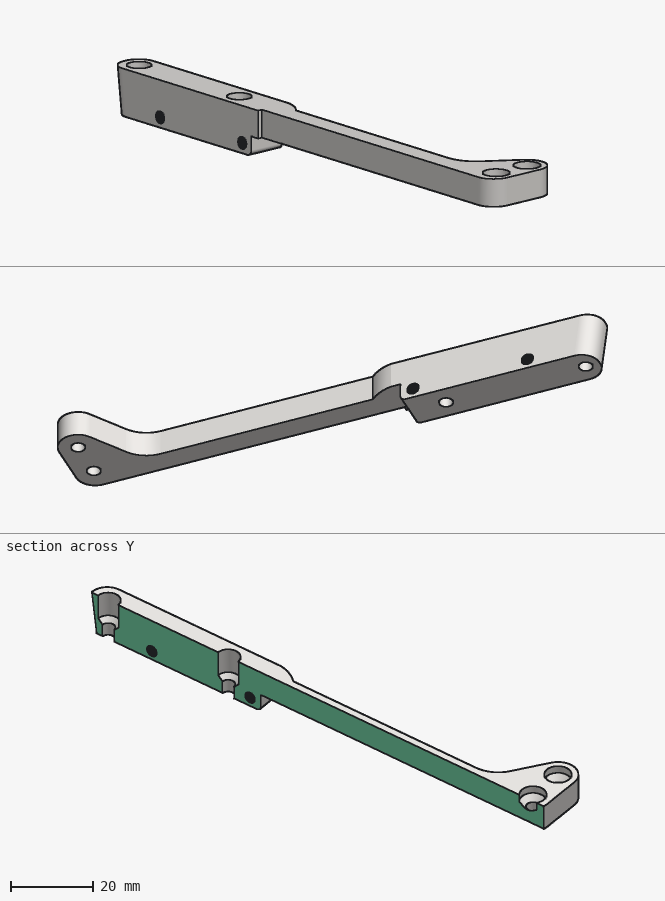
import cadquery as cq
import math

LENGTH = 138.5
HEIGHT = 12.0

BLOCK_WIDTH = 10.0
BLOCK_LENGTH = 51.8
SHOULDER_LENGTH = 54.3
NOSE_LEAN = 7.0
NOSE_RADIUS = 4.6
HEEL_RADIUS = 1.4

ARM_THICKNESS = 7.0
ARM_SIDE_Y = 1.2
ARM_WIDTH = 5.8
NECK_LENGTH = 6.0
NECK_BULGE = 0.48

FOOT_RADIUS = 5.0
FOOT_HOLE_PITCH = 10.0
FOOT_TOP_Y = 22.0
FLANK_ANGLE = 56.0
FLANK_BLEND_RADIUS = 9.0

SCREW_DIAMETER = 3.5
BLOCK_HEAD_DIAMETER = 6.1
FOOT_HEAD_DIAMETER = 6.6
SCREW_GRIP = 5.0
HEAD_SEAT_ANGLE = 90.0
BLOCK_SCREW_X = (5.1, 41.8)

CROSS_DIAMETER = 2.5
THREAD_DIAMETER = 3.0
THREAD_PITCH = 0.5
CROSS_X = (18.4, 48.5)
CROSS_Z = 2.6

arm_bottom_z = HEIGHT - ARM_THICKNESS
arm_inner_y = ARM_SIDE_Y + ARM_WIDTH
foot_center_x = LENGTH - FOOT_RADIUS
foot_center_y = FOOT_TOP_Y - FOOT_RADIUS


def make_block():
    """Lower and upper block in one side profile, with a leaning rounded nose."""
    nose_shift = HEIGHT * math.tan(math.radians(NOSE_LEAN))
    block = (
        cq.Workplane("XZ")
        .moveTo(0, HEIGHT)
        .lineTo(SHOULDER_LENGTH, HEIGHT)
        .lineTo(SHOULDER_LENGTH, arm_bottom_z)
        .lineTo(BLOCK_LENGTH, arm_bottom_z)
        .lineTo(BLOCK_LENGTH, 0)
        .lineTo(nose_shift, 0)
        .close()
        .extrude(-BLOCK_WIDTH)
    )
    block = block.edges("not (|X or |Y or |Z)").fillet(NOSE_RADIUS)
    heel = cq.selectors.NearestToPointSelector((BLOCK_LENGTH, BLOCK_WIDTH / 2, 0))
    return block.edges(heel).fillet(HEEL_RADIUS)


def make_arm():
    """Flat arm: neck, straight bar, slanted flank and rounded foot."""
    flank = math.radians(FLANK_ANGLE)
    mid_flank = flank / 2

    flank_top = (
        foot_center_x - FOOT_RADIUS * math.sin(flank),
        foot_center_y + FOOT_RADIUS * math.cos(flank),
    )
    blend_rise = FLANK_BLEND_RADIUS * (1 - math.cos(flank))
    flank_run = (flank_top[1] - arm_inner_y - blend_rise) / math.tan(flank)
    flank_bottom = (flank_top[0] - flank_run, arm_inner_y + blend_rise)
    blend_start_x = flank_bottom[0] - FLANK_BLEND_RADIUS * math.sin(flank)
    blend_middle = (
        blend_start_x + FLANK_BLEND_RADIUS * math.sin(mid_flank),
        arm_inner_y + FLANK_BLEND_RADIUS * (1 - math.cos(mid_flank)),
    )

    foot_middle_angle = (math.pi / 2 + flank) / 2
    foot_middle = (
        foot_center_x + FOOT_RADIUS * math.cos(foot_middle_angle),
        foot_center_y + FOOT_RADIUS * math.sin(foot_middle_angle),
    )

    arm = (
        cq.Workplane("XY", origin=(0, 0, arm_bottom_z))
        .moveTo(SHOULDER_LENGTH, ARM_SIDE_Y)
        .lineTo(SHOULDER_LENGTH, BLOCK_WIDTH)
        .sagittaArc((SHOULDER_LENGTH + NECK_LENGTH, arm_inner_y), NECK_BULGE)
        .lineTo(blend_start_x, arm_inner_y)
        .threePointArc(blend_middle, flank_bottom)
        .lineTo(*flank_top)
        .threePointArc(foot_middle, (LENGTH, foot_center_y))
        .lineTo(LENGTH, ARM_SIDE_Y)
        .close()
        .extrude(ARM_THICKNESS)
    )
    outer_corner = cq.selectors.NearestToPointSelector(
        (LENGTH, ARM_SIDE_Y, arm_bottom_z + ARM_THICKNESS / 2)
    )
    return arm.edges(outer_corner).fillet(FOOT_RADIUS)


def screw_cutter(x, y, base_z, head_diameter):
    """Through hole with a head bore that ends in a conical seat."""
    screw_radius = SCREW_DIAMETER / 2
    head_radius = head_diameter / 2
    seat_z = base_z + SCREW_GRIP
    seat_depth = (head_radius - screw_radius) / math.tan(math.radians(HEAD_SEAT_ANGLE / 2))
    return (
        cq.Workplane("XZ")
        .moveTo(0, base_z)
        .lineTo(screw_radius, base_z)
        .lineTo(screw_radius, seat_z - seat_depth)
        .lineTo(head_radius, seat_z)
        .lineTo(head_radius, HEIGHT)
        .lineTo(0, HEIGHT)
        .close()
        .revolve(360, (0, 0, 0), (0, 1, 0))
        .translate((x, y, 0))
    )


def cross_cutter(x):
    """Through hole across the block, its thread simplified to a stack of V-shaped rings."""
    minor_radius = CROSS_DIAMETER / 2
    major_radius = THREAD_DIAMETER / 2
    profile = cq.Workplane("XY").lineTo(major_radius, 0)
    for turn in range(round(BLOCK_WIDTH / THREAD_PITCH)):
        profile = profile.lineTo(minor_radius, (turn + 0.5) * THREAD_PITCH)
        profile = profile.lineTo(major_radius, (turn + 1) * THREAD_PITCH)
    return (
        profile.lineTo(0, BLOCK_WIDTH)
        .close()
        .revolve(360, (0, 0, 0), (0, 1, 0))
        .translate((x, 0, CROSS_Z))
    )


result = make_block().union(make_arm())

for screw_x in BLOCK_SCREW_X:
    result = result.cut(screw_cutter(screw_x, BLOCK_WIDTH / 2, 0, BLOCK_HEAD_DIAMETER))

for screw_y in (foot_center_y - FOOT_HOLE_PITCH, foot_center_y):
    result = result.cut(
        screw_cutter(foot_center_x, screw_y, arm_bottom_z, FOOT_HEAD_DIAMETER)
    )

for cross_x in CROSS_X:
    result = result.cut(cross_cutter(cross_x))